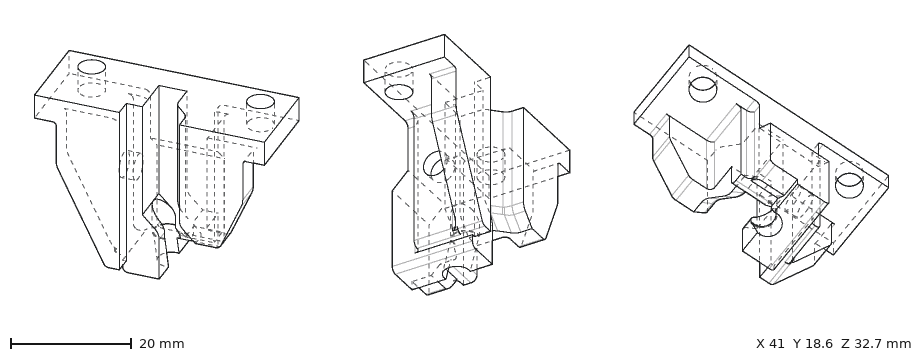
import cadquery as cq
import math


PLATE_WIDTH = 41
PLATE_DEPTH = 15.5
PLATE_THICKNESS = 4.45
BOLT_DIAMETER = 4.6
BOLT_SPACING = 30.1
BOLT_Y = 11.95

WING_HALF_WIDTH = 16.65
WING_THICKNESS = 4.75
WING_BEND_Z = -12.7
WING_BEND_RADIUS = 3.3
WING_ROOT_RADIUS = 0.6
LEFT_TIP_X = -7.87
LEFT_WING_BOTTOM = -30.42
RIGHT_TIP_X = 12.45
RIGHT_WING_BOTTOM = -22.3

CORE_HALF_WIDTH = 8.08
CORE_BACK_Y = 13.1
CORE_RIGHT_BOTTOM = -29.27
UNDERSIDE_RADIUS = 1.2
FLANGE_HALF_WIDTH = 6.03
FLANGE_BACK_Y = 18.55
FLANGE_TOP_Z = -13.7
FLANGE_BOTTOM = -31.0
FOOT_FRONT_Y = 3.1
FOOT_RIGHT_X = 0.5
FOOT_BOTTOM = -32.65
FOOT_TOP_Z = -20.85
FOOT_TOP_RADIUS = 2.65
BLEND_RADIUS = 1.0

CHANNEL_HALF_WIDTH = 2.5
CHANNEL_BACK_Y = 10.5
MOUTH_HALF_WIDTH = 5.37
MOUTH_DEPTH = 3.05
CHANNEL_BEND_Z = -19.48
MOUTH_RADIUS = 2.05

GUIDE_BEND_Z = -26.25
GUIDE_TILT = 15
GUIDE_OUTLET_DIAMETER = 4.6
SIDE_HOLE_DIAMETER = 4.6
SIDE_HOLE_DEPTH = 2.45
SIDE_HOLE_Y = 9
SIDE_HOLE_Z = -15.6

CLEARANCE = 2.05
BEND_TOLERANCE = 0.05


def block(x_range, y_range, z_range):
    """Box given by its limits along each axis."""
    limits = (x_range, y_range, z_range)
    size = [high - low for low, high in limits]
    return cq.Workplane("XY").box(*size, centered=False).translate(tuple(low for low, _ in limits))


def front_prism(points, y_start, y_end):
    """Outline in X and Z, extruded from y_start back to y_end."""
    return cq.Workplane("XZ", origin=(0, y_start, 0)).polyline(points).close().extrude(y_start - y_end)


def side_prism(points, x_start, x_end):
    """Outline in Y and Z, extruded from x_start to x_end."""
    return cq.Workplane("YZ", origin=(x_start, 0, 0)).polyline(points).close().extrude(x_end - x_start)


def fillet_edge_at(body, point, radius):
    """Round the edge of the body that lies nearest to a point."""
    return body.edges(cq.selectors.NearestToPointSelector(point)).fillet(radius)


def make_wing(side, inner_x, tip_x, bottom):
    """Tapered plate below the mounting plate; side is -1 for left and 1 for right."""
    outer_x = side * WING_HALF_WIDTH
    middle_y = WING_THICKNESS / 2
    outline = [(inner_x, 0), (outer_x, 0), (outer_x, WING_BEND_Z), (tip_x, bottom), (inner_x, bottom)]
    wing = front_prism(outline, 0, WING_THICKNESS)
    wing = fillet_edge_at(wing, (outer_x, middle_y, WING_BEND_Z), WING_BEND_RADIUS)
    return fillet_edge_at(wing, (tip_x, middle_y, bottom), BLEND_RADIUS)


def make_core():
    """Left and right halves of the core, which end at different heights."""
    left = block((-CORE_HALF_WIDTH, 0), (WING_THICKNESS, CORE_BACK_Y), (LEFT_WING_BOTTOM, 0))
    left = fillet_edge_at(left, (-CORE_HALF_WIDTH, CHANNEL_BACK_Y, LEFT_WING_BOTTOM), BLEND_RADIUS)
    right = block((0, CORE_HALF_WIDTH), (WING_THICKNESS, CORE_BACK_Y), (CORE_RIGHT_BOTTOM, 0))
    return left.union(right)


def blend_profile(plane, corner, side_a, side_b):
    """Concave quarter-round filling an inside corner; sides are the signs of its two legs."""
    a, b = corner
    bulge = BLEND_RADIUS * (1 - math.sqrt(0.5))
    return (
        plane.moveTo(a, b)
        .lineTo(a + side_a * BLEND_RADIUS, b)
        .threePointArc((a + side_a * bulge, b + side_b * bulge), (a, b + side_b * BLEND_RADIUS))
        .close()
    )


def make_blends(side, wing, bottom):
    """Concave blends from one side of the core to the plate, the wing and the flange."""
    core_x = side * CORE_HALF_WIDTH
    flange_x = side * FLANGE_HALF_WIDTH
    below_plate = cq.Workplane("XY", origin=(0, 0, -PLATE_THICKNESS))
    height = -PLATE_THICKNESS - bottom

    core_to_wing = blend_profile(below_plate, (core_x, WING_THICKNESS), side, 1).extrude(-height)
    wing_shadow = wing.union(wing.translate((0, WING_THICKNESS, 0)))
    core_to_wing = core_to_wing.intersect(wing_shadow)

    core_to_flange = blend_profile(below_plate, (flange_x, CORE_BACK_Y), side, 1).extrude(-height)

    wing_back = cq.Workplane("XZ", origin=(0, WING_THICKNESS, 0))
    core_depth = CORE_BACK_Y - WING_THICKNESS
    core_to_plate = blend_profile(wing_back, (core_x, -PLATE_THICKNESS), side, -1).extrude(-core_depth)

    core_back = cq.Workplane("XZ", origin=(0, CORE_BACK_Y, 0))
    flange_depth = PLATE_DEPTH - CORE_BACK_Y
    flange_to_plate = blend_profile(core_back, (flange_x, -PLATE_THICKNESS), side, -1).extrude(-flange_depth)
    return core_to_wing.union(core_to_flange).union(core_to_plate).union(flange_to_plate)


def make_flange():
    """Rear flange with a sloped shoulder on top and a sloped underside in front."""
    shoulder = FLANGE_BACK_Y - PLATE_DEPTH
    underside_rise = CORE_RIGHT_BOTTOM - FLANGE_BOTTOM
    outline = [
        (CHANNEL_BACK_Y, 0),
        (PLATE_DEPTH, 0),
        (PLATE_DEPTH, FLANGE_TOP_Z),
        (FLANGE_BACK_Y, FLANGE_TOP_Z - shoulder),
        (FLANGE_BACK_Y, FLANGE_BOTTOM),
        (CORE_BACK_Y + underside_rise, FLANGE_BOTTOM),
        (CORE_BACK_Y, CORE_RIGHT_BOTTOM),
        (CHANNEL_BACK_Y, CORE_RIGHT_BOTTOM),
    ]
    flange = side_prism(outline, -FLANGE_HALF_WIDTH, FLANGE_HALF_WIDTH)
    return fillet_edge_at(flange, (FLANGE_HALF_WIDTH, FLANGE_BACK_Y, FLANGE_BOTTOM), BLEND_RADIUS)


def make_foot():
    """Foot below the channel, with a sloping top and a rounded lower left edge."""
    slope_run = FOOT_RIGHT_X + CHANNEL_HALF_WIDTH
    slope_end_z = FOOT_TOP_Z - slope_run
    outline = [
        (-FLANGE_HALF_WIDTH, 0),
        (-CHANNEL_HALF_WIDTH, 0),
        (-CHANNEL_HALF_WIDTH, FOOT_TOP_Z),
        (FOOT_RIGHT_X, slope_end_z),
        (FOOT_RIGHT_X, FOOT_BOTTOM),
        (-FLANGE_HALF_WIDTH, FOOT_BOTTOM),
    ]
    foot = front_prism(outline, FOOT_FRONT_Y, PLATE_DEPTH)
    tail = block(
        (-FLANGE_HALF_WIDTH, FOOT_RIGHT_X),
        (PLATE_DEPTH, FLANGE_BACK_Y),
        (FOOT_BOTTOM, FLANGE_TOP_Z - (FLANGE_BACK_Y - PLATE_DEPTH)),
    )
    foot = foot.union(tail)
    middle_y = (FOOT_FRONT_Y + FLANGE_BACK_Y) / 2
    top_middle_y = (FOOT_FRONT_Y + PLATE_DEPTH) / 2
    foot = fillet_edge_at(foot, (-FLANGE_HALF_WIDTH, middle_y, FOOT_BOTTOM), BLEND_RADIUS)
    return fillet_edge_at(foot, (FOOT_RIGHT_X, top_middle_y, slope_end_z), FOOT_TOP_RADIUS)


def make_channel():
    """Space of the channel, flared at its mouth and swept to the right at its lower end."""
    flare = MOUTH_HALF_WIDTH - CHANNEL_HALF_WIDTH
    flare_corners = [(MOUTH_HALF_WIDTH, MOUTH_DEPTH), (CHANNEL_HALF_WIDTH, MOUTH_DEPTH + flare)]
    outline = [
        (-CHANNEL_HALF_WIDTH, -CLEARANCE),
        (MOUTH_HALF_WIDTH, -CLEARANCE),
        *flare_corners,
        (CHANNEL_HALF_WIDTH, CHANNEL_BACK_Y),
        (-CHANNEL_HALF_WIDTH, CHANNEL_BACK_Y),
    ]
    upper = cq.Workplane("XY").polyline(outline).close().extrude(CHANNEL_BEND_Z)
    for x, y in flare_corners:
        upper = fillet_edge_at(upper, (x, y, CHANNEL_BEND_Z / 2), MOUTH_RADIUS)
    floor = upper.faces("<Z").val()
    run = CHANNEL_BEND_Z - RIGHT_WING_BOTTOM
    sweep = cq.Solid.extrudeLinear(floor.outerWire(), [], cq.Vector(run, 0, -run))
    below_wing = block(
        (-CHANNEL_HALF_WIDTH, PLATE_WIDTH / 2), (-CLEARANCE, CHANNEL_BACK_Y), (FOOT_BOTTOM, RIGHT_WING_BOTTOM)
    )
    straight = block(
        (-CHANNEL_HALF_WIDTH, CHANNEL_HALF_WIDTH), (-CLEARANCE, CHANNEL_BACK_Y), (FOOT_BOTTOM, 0)
    )
    notch = block((-MOUTH_HALF_WIDTH, 0), (-CLEARANCE, FOOT_FRONT_Y), (FOOT_BOTTOM, 0))
    channel = upper.union(cq.Workplane(sweep))
    bend_limits = cq.selectors.BoxSelector(
        (0, -2 * CLEARANCE, CHANNEL_BEND_Z - BEND_TOLERANCE),
        (2 * MOUTH_HALF_WIDTH, CHANNEL_BACK_Y - BEND_TOLERANCE, CHANNEL_BEND_Z + BEND_TOLERANCE),
    )
    channel = channel.edges(bend_limits).fillet(MOUTH_RADIUS)
    return channel.union(below_wing).union(straight).union(notch)


def make_guide_hole():
    """Vertical bore touching two channel walls, bent backward at its lower end."""
    bore_radius = CHANNEL_HALF_WIDTH
    center_y = CHANNEL_BACK_Y - bore_radius
    bend = cq.Vector(0, center_y, GUIDE_BEND_Z)
    tilt = math.radians(GUIDE_TILT)
    outlet_direction = cq.Vector(0, math.sin(tilt), -math.cos(tilt))
    outlet_length = (GUIDE_BEND_Z - FOOT_BOTTOM) / math.cos(tilt) + CLEARANCE
    outlet_radius = GUIDE_OUTLET_DIAMETER / 2
    bore = cq.Solid.makeCylinder(bore_radius, FOOT_TOP_Z - GUIDE_BEND_Z, bend)
    outlet = cq.Solid.makeCylinder(outlet_radius, outlet_length, bend, outlet_direction)
    elbow = cq.Workplane("XY").sphere(outlet_radius).translate(bend)
    return elbow.union(cq.Workplane(bore)).union(cq.Workplane(outlet))


plate = block((-PLATE_WIDTH / 2, PLATE_WIDTH / 2), (0, PLATE_DEPTH), (-PLATE_THICKNESS, 0))
left_wing = make_wing(-1, 0, LEFT_TIP_X, LEFT_WING_BOTTOM)
right_wing = make_wing(1, 0, RIGHT_TIP_X, RIGHT_WING_BOTTOM)

result = plate.union(left_wing).union(right_wing).union(make_core()).union(make_flange())

for side in (-1, 1):
    root = (side * WING_HALF_WIDTH, WING_THICKNESS / 2, -PLATE_THICKNESS)
    result = fillet_edge_at(result, root, WING_ROOT_RADIUS)

result = result.union(make_blends(-1, left_wing, LEFT_WING_BOTTOM))
result = result.union(make_blends(1, right_wing, CORE_RIGHT_BOTTOM))

result = result.cut(make_channel())
front_round = ((FOOT_RIGHT_X + CORE_HALF_WIDTH) / 2, CHANNEL_BACK_Y, CORE_RIGHT_BOTTOM)
result = fillet_edge_at(result, front_round, UNDERSIDE_RADIUS)
result = result.union(make_foot()).cut(make_guide_hole())

bolt_holes = (
    cq.Workplane("XY")
    .pushPoints([(-BOLT_SPACING / 2, BOLT_Y), (BOLT_SPACING / 2, BOLT_Y)])
    .circle(BOLT_DIAMETER / 2)
    .extrude(-PLATE_THICKNESS)
)
side_hole = (
    cq.Workplane("YZ", origin=(-CORE_HALF_WIDTH, 0, 0))
    .center(SIDE_HOLE_Y, SIDE_HOLE_Z)
    .circle(SIDE_HOLE_DIAMETER / 2)
    .extrude(SIDE_HOLE_DEPTH)
)
result = result.cut(bolt_holes).cut(side_hole)